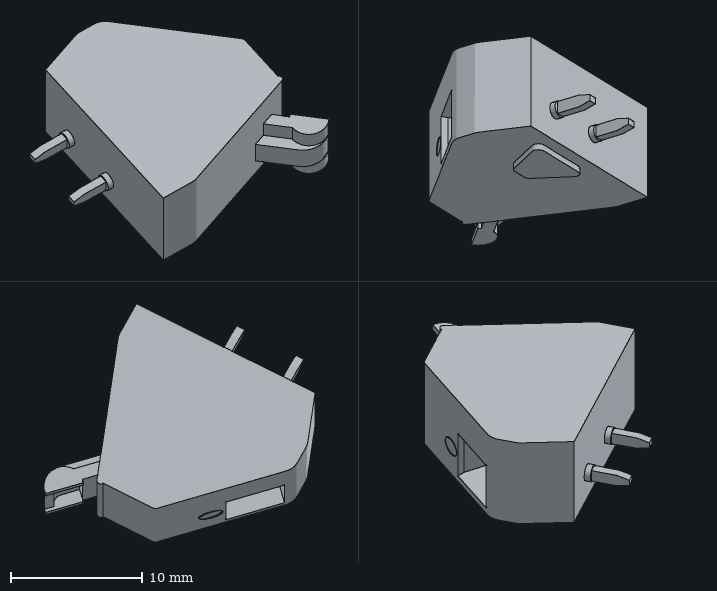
import cadquery as cq
import math

BODY_HEIGHT = 7.6
BODY_RIGHT = 16.87
BODY_BACK = 14.04
SIDE_SLOPE = math.tan(math.radians(20))
LEFT_KNEE_Y = 4.02
ENTRY_FACE_Y = 6.2
RIGHT_KNEE_Y = 2.95
SIDE_RADIUS = 1.5
BACK_CORNER_RADIUS = 0.5
BEAD_RADIUS = 0.3
BEAD_RISE = 0.18

MID_Z = 2.54

FOOT_DEPTH = 0.5
FOOT_CENTER_X = 7.04
FOOT_BASE_WIDTH = 6.34
FOOT_FRONT = 1.11
FOOT_BACK = 5.01
FOOT_SIDE_LEAN = math.radians(30)
FOOT_RADIUS = 0.5

PIN_XS = (4.65, 9.73)
COLLAR_RADIUS = 0.66
COLLAR_LENGTH = 0.49
PIN_WIDTH = 0.72
PIN_THICKNESS = 1.0
PIN_TIP_THICKNESS = 0.5
PIN_LENGTH = 3.51
PIN_TAPER_LENGTH = 1.01

FUNNEL_TOP_Y = 10.05
FUNNEL_MOUTH_LENGTH = 4.68
FUNNEL_MOUTH_Z = (0.55, 4.52)
FUNNEL_FLOOR_Z = (1.58, 4.08)
FUNNEL_DEPTH = 3.51
FUNNEL_LEAD_DEPTH = 0.53
FUNNEL_UPPER_TAPER = 1.01

PROBE_Y = 10.86
PROBE_RADIUS = 0.66
PROBE_DEPTH = 0.1

LEVER_TIP = (16.22, 15.99)
LEVER_WIDTH = 4.8
LEVER_LENGTH = 6.24
LEVER_DEPTH = 1.29
LEVER_NOSE_START = 0.23
LEVER_NOSE_RADIUS = 1.52
RIM_THICKNESS = 0.53
RIM_HEIGHT = 0.27
RIM_LENGTH = 3.02
GRIP_START = 0.78
GRIP_DEPTH = 0.75
RIB_WIDTH = 2.0
RIB_DEPTH = 2.26


def make_body():
    back_left_x = BODY_BACK - ENTRY_FACE_Y
    back_right_x = BODY_RIGHT - (BODY_BACK - RIGHT_KNEE_Y) * SIDE_SLOPE
    outline = [
        (LEFT_KNEE_Y * SIDE_SLOPE, 0),
        (BODY_RIGHT, 0),
        (BODY_RIGHT, RIGHT_KNEE_Y),
        (back_right_x, BODY_BACK),
        (back_left_x, BODY_BACK),
        (0, ENTRY_FACE_Y),
        (0, LEFT_KNEE_Y),
    ]
    body = cq.Workplane("XY").polyline(outline).close().extrude(BODY_HEIGHT)

    def edge_at(x, y):
        return cq.selectors.NearestToPointSelector((x, y, BODY_HEIGHT / 2))

    for x, y in ((BODY_RIGHT, RIGHT_KNEE_Y), (0, ENTRY_FACE_Y), (0, LEFT_KNEE_Y)):
        body = body.edges("|Z").edges(edge_at(x, y)).fillet(SIDE_RADIUS)
    body = body.edges("|Z").edges(edge_at(back_left_x, BODY_BACK)).fillet(BACK_CORNER_RADIUS)

    bead_y = BODY_BACK + BEAD_RISE - BEAD_RADIUS
    side_x = BODY_RIGHT - (bead_y - RIGHT_KNEE_Y) * SIDE_SLOPE
    bead_x = side_x - BEAD_RADIUS * math.hypot(1, SIDE_SLOPE)
    bead = cq.Workplane("XY").center(bead_x, bead_y).circle(BEAD_RADIUS).extrude(BODY_HEIGHT)
    return body.union(bead)


def make_foot():
    base_half = FOOT_BASE_WIDTH / 2
    top_half = base_half - (FOOT_BACK - FOOT_FRONT) * math.tan(FOOT_SIDE_LEAN)
    outline = [
        (FOOT_CENTER_X - base_half, FOOT_FRONT),
        (FOOT_CENTER_X + base_half, FOOT_FRONT),
        (FOOT_CENTER_X + top_half, FOOT_BACK),
        (FOOT_CENTER_X - top_half, FOOT_BACK),
    ]
    foot = cq.Workplane("XY").polyline(outline).close().extrude(-FOOT_DEPTH)
    return foot.edges("|Z").fillet(FOOT_RADIUS)


def make_pin(x):
    collar = (
        cq.Workplane("XZ", origin=(x, 0, MID_Z)).circle(COLLAR_RADIUS).extrude(COLLAR_LENGTH)
    )
    half = PIN_THICKNESS / 2
    tip_half = PIN_TIP_THICKNESS / 2
    taper_y = PIN_TAPER_LENGTH - PIN_LENGTH
    profile = [
        (0, -half),
        (taper_y, -half),
        (-PIN_LENGTH, -tip_half),
        (-PIN_LENGTH, tip_half),
        (taper_y, half),
        (0, half),
    ]
    blade = (
        cq.Workplane("YZ", origin=(x, 0, MID_Z))
        .polyline(profile)
        .close()
        .extrude(PIN_WIDTH / 2, both=True)
    )
    return collar.union(blade)


def make_funnel():
    mouth_edge = (FUNNEL_TOP_Y - ENTRY_FACE_Y, FUNNEL_TOP_Y, 0)
    plane = cq.Plane(origin=mouth_edge, xDir=(0, 0, 1), normal=(1, -1, 0))

    def section(depth, upper):
        share = depth / FUNNEL_DEPTH
        bottom, top = (
            mouth_z + share * (floor_z - mouth_z)
            for mouth_z, floor_z in zip(FUNNEL_MOUTH_Z, FUNNEL_FLOOR_Z)
        )
        corners = [
            (bottom, upper),
            (bottom, FUNNEL_MOUTH_LENGTH),
            (top, FUNNEL_MOUTH_LENGTH),
            (top, upper),
        ]
        points = [plane.toWorldCoords((z, along, depth)) for z, along in corners]
        return cq.Wire.makePolygon(points, close=True)

    mouth = section(0, 0)
    lead = section(FUNNEL_LEAD_DEPTH, 0)
    floor = section(FUNNEL_DEPTH, FUNNEL_UPPER_TAPER)
    lead_part = cq.Solid.makeLoft([mouth, lead], True)
    taper_part = cq.Solid.makeLoft([lead, floor], True)
    return cq.Workplane(lead_part).union(cq.Workplane(taper_part))


def make_probe_recess():
    face_x = PROBE_Y - ENTRY_FACE_Y
    reach = 2 * PROBE_RADIUS
    slice_outline = [
        (face_x - reach, PROBE_Y - reach),
        (face_x - reach + PROBE_DEPTH, PROBE_Y - reach),
        (face_x + reach + PROBE_DEPTH, PROBE_Y + reach),
        (face_x + reach, PROBE_Y + reach),
    ]
    slanted_slice = cq.Workplane("XY").polyline(slice_outline).close().extrude(BODY_HEIGHT)
    bore = (
        cq.Workplane("YZ", origin=(face_x, PROBE_Y, MID_Z))
        .circle(PROBE_RADIUS)
        .extrude(reach, both=True)
    )
    return slanted_slice.intersect(bore)


def lever_plane():
    return cq.Plane(origin=(*LEVER_TIP, MID_Z), xDir=(-1, -1, 0), normal=(0, 0, 1))


def lever_prism(profile, width):
    return profile.close().extrude(width / 2, both=True)


def make_lever():
    nose_drop = LEVER_DEPTH - LEVER_NOSE_START
    nose_end = LEVER_NOSE_RADIUS + math.sqrt(LEVER_NOSE_RADIUS**2 - nose_drop**2)
    blade_profile = (
        cq.Workplane(lever_plane())
        .lineTo(0, LEVER_NOSE_START)
        .threePointArc(
            (LEVER_NOSE_RADIUS, LEVER_NOSE_START + LEVER_NOSE_RADIUS), (nose_end, LEVER_DEPTH)
        )
        .lineTo(LEVER_LENGTH, LEVER_DEPTH)
        .lineTo(LEVER_LENGTH, RIM_HEIGHT)
        .lineTo(RIM_LENGTH, RIM_HEIGHT)
        .lineTo(RIM_LENGTH, 0)
    )
    lever = lever_prism(blade_profile, LEVER_WIDTH)

    rib_radius = RIB_DEPTH - RIM_HEIGHT
    diagonal = rib_radius * math.sqrt(0.5)
    rib_profile = (
        cq.Workplane(lever_plane())
        .moveTo(0, RIM_HEIGHT)
        .threePointArc(
            (rib_radius - diagonal, RIM_HEIGHT + diagonal), (rib_radius, RIB_DEPTH)
        )
        .lineTo(LEVER_LENGTH, RIB_DEPTH)
        .lineTo(LEVER_LENGTH, RIM_HEIGHT)
    )
    lever = lever.union(lever_prism(rib_profile, RIB_WIDTH))

    grip_floor = RIM_HEIGHT + GRIP_DEPTH
    diagonal = GRIP_DEPTH * math.sqrt(0.5)
    grip_profile = (
        cq.Workplane(lever_plane())
        .lineTo(0, RIM_HEIGHT)
        .lineTo(GRIP_START, RIM_HEIGHT)
        .threePointArc(
            (GRIP_START + GRIP_DEPTH - diagonal, RIM_HEIGHT + diagonal),
            (GRIP_START + GRIP_DEPTH, grip_floor),
        )
        .lineTo(RIM_LENGTH, grip_floor)
        .lineTo(RIM_LENGTH, 0)
    )
    return lever.cut(lever_prism(grip_profile, LEVER_WIDTH - 2 * RIM_THICKNESS))


result = make_body().cut(make_funnel()).cut(make_probe_recess())
result = result.union(make_foot()).union(make_lever())
for pin_x in PIN_XS:
    result = result.union(make_pin(pin_x))